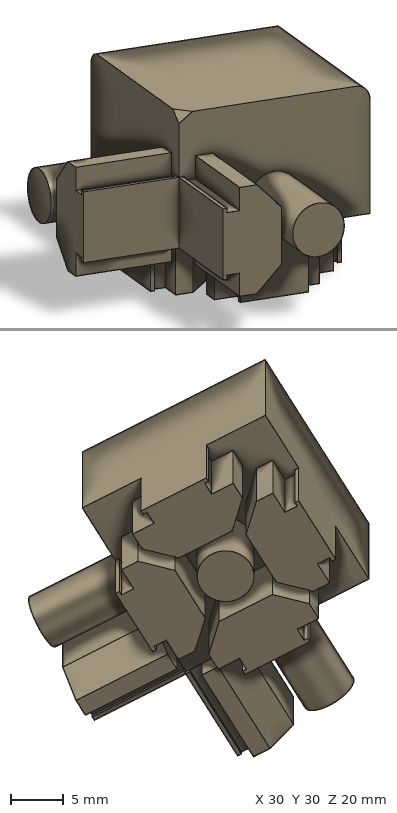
import cadquery as cq

overall_length = 30.0
cube_side = overall_length * 2 / 3
arm_length = overall_length - cube_side
centre = cube_side / 2
leg_height = 6.95
edge_radius = 1.5
pin_diameter = 5.4

lip_depth = 0.42
neck_depth = 1.75
wing_depth = 3.55
key_depth = 6.12
lip_width = 7.15
neck_width = 6.3
wing_width = 10.98
nose_width = wing_width - 2 * (key_depth - wing_depth)

corner_cut_side = 1.4
corner_cut_drop = 1.02


def key_section(plane):
    """Key outline: origin mid-width on the outer face, local Y pointing inwards."""
    half_outline = [
        (lip_width / 2, 0),
        (lip_width / 2, lip_depth),
        (neck_width / 2, lip_depth),
        (neck_width / 2, neck_depth),
        (wing_width / 2, neck_depth),
        (wing_width / 2, wing_depth),
        (nose_width / 2, key_depth),
    ]
    mirrored = [(-across, depth) for across, depth in reversed(half_outline)]
    return cq.Workplane(plane).polyline(half_outline + mirrored).close()


def pin(plane, length):
    return cq.Workplane(plane).circle(pin_diameter / 2).extrude(length)


def make_body():
    """Upper block, rounded along its -X and +Y top edges."""
    height = cube_side - leg_height
    block = cq.Workplane("XY").box(cube_side, cube_side, height, centered=False)
    block = block.translate((0, 0, leg_height))
    rounded_edges = block.faces(">Z").edges("<X or >Y")
    return rounded_edges.fillet(edge_radius)


def make_corner_cutter():
    """Tetrahedron on the +X, -Y top corner."""
    corner = cq.Vector(cube_side, 0, cube_side)
    along_x = corner + cq.Vector(-corner_cut_side, 0, 0)
    along_y = corner + cq.Vector(0, corner_cut_side, 0)
    below = corner + cq.Vector(0, 0, -corner_cut_drop)
    triangles = [
        (corner, along_x, along_y),
        (corner, along_x, below),
        (corner, along_y, below),
        (along_x, along_y, below),
    ]
    faces = [cq.Face.makeFromWires(cq.Wire.makePolygon(points, close=True)) for points in triangles]
    return cq.Workplane(cq.Solid.makeSolid(cq.Shell.makeShell(faces)))


def make_x_arm():
    """Key flush with the -Y face and a central pin, both leaving the +X face."""
    key_plane = cq.Plane((cube_side, 0, centre), xDir=(0, 0, -1), normal=(1, 0, 0))
    pin_plane = cq.Plane((cube_side, centre, centre), xDir=(0, 1, 0), normal=(1, 0, 0))
    return key_section(key_plane).extrude(arm_length).union(pin(pin_plane, arm_length))


def make_y_arm():
    """Key flush with the +X face and a central pin, both leaving the -Y face."""
    key_plane = cq.Plane((cube_side, 0, centre), xDir=(0, 0, 1), normal=(0, -1, 0))
    pin_plane = cq.Plane((centre, 0, centre), xDir=(1, 0, 0), normal=(0, -1, 0))
    return key_section(key_plane).extrude(arm_length).union(pin(pin_plane, arm_length))


def make_legs():
    """Four keys, one flush with each side of the block, around a central pin."""
    key_plane = cq.Plane((centre, 0, 0), xDir=(1, 0, 0), normal=(0, 0, 1))
    key = key_section(key_plane).extrude(leg_height)
    legs = pin(cq.Plane((centre, centre, 0)), leg_height)
    for angle in (0, 90, 180, 270):
        legs = legs.union(key.rotate((centre, centre, 0), (centre, centre, 1), angle))
    return legs


result = make_body().cut(make_corner_cutter())
result = result.union(make_legs()).union(make_x_arm()).union(make_y_arm())